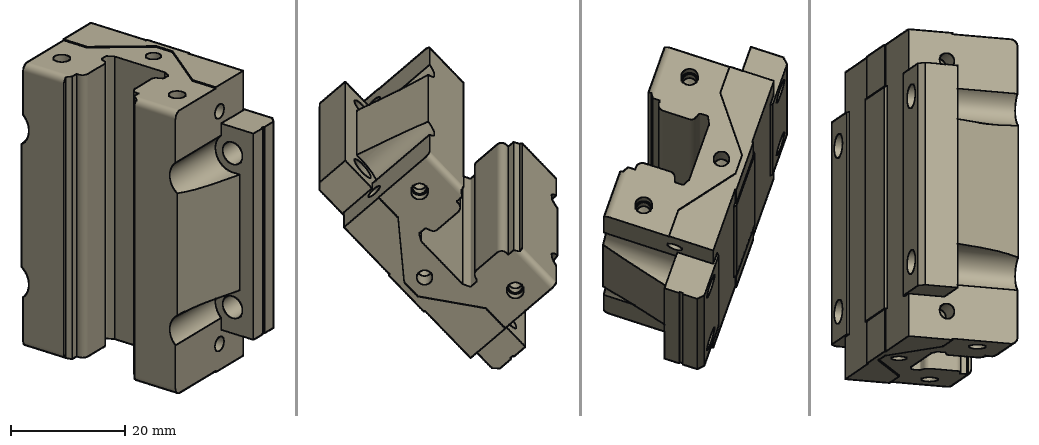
import cadquery as cq
import math


LENGTH = 55.5
WIDTH = 47.0
HEIGHT = 20.7

BODY_WIDTH = 33.0
BLOCK_LENGTH = 40.2
SIDE_TOP = 20.3
CAP_PAD_TOP = 20.55
PAD_TOP_WIDTH = 10.0
PAD_FOOT_WIDTH = 10.75
CAP_PAD_WIDTH = 9.2

FLANGE_BOTTOM = 13.65
FLANGE_CHAMFER = 1.0
FLANGE_TOP_INNER = 14.75
PAD_STEP_RUN = (PAD_FOOT_WIDTH - PAD_TOP_WIDTH) / 2
HOLE_DIAMETER = 4.3
HOLE_X = 19.0
HOLE_Z = 15.0
GROOVE_Y = 16.7
GROOVE_WIDTH = 0.6
GROOVE_DEPTH = 0.2

WEB_TOP_X = 20.55
WEB_BOTTOM_X = 16.85
CLEARANCE_RADIUS = 3.7

CHANNEL_TOP = 12.1
CHANNEL_TOP_HALF = 5.4
CHANNEL_WIDE_HALF = 6.7
CHANNEL_NARROW_HALF = 5.1
WIDE_UPPER_Y = 11.45
WIDE_LOWER_Y = 9.9
NARROW_UPPER_Y = 9.2
MOUTH_UPPER_Y = 2.5
LIP_UPPER_Y = 1.2
LIP_LOWER_Y = 0.6
LIP_HALF = 7.65
UPPER_RIDGE_RADIUS = 1.0
LOWER_RIDGE_RADIUS = 1.15
CORNER_RADIUS = 0.3

SEAL_SETBACK = 0.2
SEAL_SHOULDER_Y = CHANNEL_TOP
SEAL_SHOULDER_HALF = 11.45
SEAL_PEAK_Y = 19.4
SEAL_PEAK_HALF = 1.8
SEAL_EDGE_RADIUS = 1.3

PORT_DIAMETER = 2.7
PORT_DEPTH = 4.45
END_PORT_Y = 16.2
SIDE_PORT_Y = 13.15
SIDE_PORT_Z = 22.65
SCREW_DIAMETER = 2.5
SCREW_MOUTH_DIAMETER = 3.0
SCREW_MOUTH_DEPTH = 2.2
SCREW_DEPTH = 4.45
SCREW_X = 12.5
SCREW_Y = 6.05
TIP_ANGLE = 118.0


def prism(points, length, z_center=0.0):
    """Closed XY outline extruded along Z, centred on z_center."""
    start = z_center - length / 2
    return cq.Workplane("XY").workplane(offset=start).polyline(points).close().extrude(length)


def symmetric(right_points):
    """Complete an outline from its +X half, listed from top to bottom."""
    return right_points + [(-x, y) for x, y in reversed(right_points)]


def padded_outline(pad_top, top_width, foot_width):
    """Body section with the raised centre pad."""
    return symmetric([
        (top_width / 2, pad_top),
        (foot_width / 2, SIDE_TOP),
        (BODY_WIDTH / 2, SIDE_TOP),
        (BODY_WIDTH / 2, 0),
    ])


def make_body():
    block = prism(padded_outline(HEIGHT, PAD_TOP_WIDTH, PAD_FOOT_WIDTH), BLOCK_LENGTH)
    caps = prism(padded_outline(CAP_PAD_TOP, CAP_PAD_WIDTH, CAP_PAD_WIDTH), LENGTH)
    return block.union(caps)


def make_flange():
    """Flange on the +X side with a chamfered outer top edge."""
    outer = WIDTH / 2
    inner_foot = FLANGE_TOP_INNER - PAD_STEP_RUN
    outline = [
        (inner_foot, FLANGE_BOTTOM),
        (outer, FLANGE_BOTTOM),
        (outer, HEIGHT - FLANGE_CHAMFER),
        (outer - FLANGE_CHAMFER, HEIGHT),
        (FLANGE_TOP_INNER, HEIGHT),
        (inner_foot, SIDE_TOP),
    ]
    return prism(outline, BLOCK_LENGTH)


def make_web():
    """Tapered web on the +X side, reaching to the screw hole centres."""
    inner = BODY_WIDTH / 2
    outline = [(inner, 0), (WEB_BOTTOM_X, 0), (WEB_TOP_X, FLANGE_BOTTOM), (inner, FLANGE_BOTTOM)]
    return prism(outline, 2 * HOLE_Z)


def make_clearance():
    """Screw head space below the flange: round toward the body, open outward."""
    open_width = WIDTH / 2 - HOLE_X
    cutter = cq.Workplane("XY")
    for side in (-1, 1):
        for end in (-1, 1):
            x, z = side * HOLE_X, end * HOLE_Z
            round_part = cq.Workplane("XZ").center(x, z).circle(CLEARANCE_RADIUS).extrude(-FLANGE_BOTTOM)
            open_part = (
                cq.Workplane("XZ")
                .center(x + side * open_width / 2, z)
                .rect(open_width, 2 * CLEARANCE_RADIUS)
                .extrude(-FLANGE_BOTTOM)
            )
            cutter = cutter.add(round_part.union(open_part))
    return cutter.combine()


def make_channel():
    """Rail channel with rounded ridges and small rounds in its wide upper part."""
    outline = symmetric([
        (CHANNEL_TOP_HALF, CHANNEL_TOP),
        (CHANNEL_WIDE_HALF, WIDE_UPPER_Y),
        (CHANNEL_WIDE_HALF, WIDE_LOWER_Y),
        (CHANNEL_NARROW_HALF, NARROW_UPPER_Y),
        (CHANNEL_NARROW_HALF, MOUTH_UPPER_Y),
        (CHANNEL_WIDE_HALF, MOUTH_UPPER_Y),
        (CHANNEL_WIDE_HALF, LIP_UPPER_Y),
        (LIP_HALF, LIP_LOWER_Y),
        (LIP_HALF, 0),
    ])
    channel = prism(outline, LENGTH)
    rounds = [
        (CHANNEL_NARROW_HALF, NARROW_UPPER_Y, UPPER_RIDGE_RADIUS),
        (CHANNEL_NARROW_HALF, MOUTH_UPPER_Y, LOWER_RIDGE_RADIUS),
        (CHANNEL_WIDE_HALF, WIDE_UPPER_Y, CORNER_RADIUS),
        (CHANNEL_WIDE_HALF, WIDE_LOWER_Y, CORNER_RADIUS),
    ]
    for x, y, radius in rounds:
        for side in (-1, 1):
            corner = cq.selectors.NearestToPointSelector((side * x, y, 0))
            channel = channel.edges("|Z").edges(corner).fillet(radius)
    return channel


def make_seal_setback(end):
    """Material removed at one end so the seal plate lies behind the cap face, lower edge rounded."""
    outline = symmetric([
        (SEAL_PEAK_HALF, SEAL_PEAK_Y),
        (SEAL_SHOULDER_HALF, SEAL_SHOULDER_Y),
        (BODY_WIDTH / 2, SEAL_SHOULDER_Y),
        (BODY_WIDTH / 2, 0),
    ])
    face_z = LENGTH / 2 - SEAL_SETBACK
    setback = prism(outline, SEAL_SETBACK, end * (LENGTH - SEAL_SETBACK) / 2)
    mid = SEAL_EDGE_RADIUS * (1 - math.sqrt(0.5))
    edge_round = (
        cq.Workplane("YZ")
        .moveTo(0, end * face_z)
        .lineTo(SEAL_EDGE_RADIUS, end * face_z)
        .threePointArc((mid, end * (face_z - mid)), (0, end * (face_z - SEAL_EDGE_RADIUS)))
        .close()
        .extrude(BODY_WIDTH / 2, both=True)
    )
    return setback.union(edge_round)


def make_drill(diameter, depth):
    """Blind hole cutter with a conical tip, opening at Z = 0 and going down."""
    radius = diameter / 2
    tip = radius / math.tan(math.radians(TIP_ANGLE / 2))
    outline = [(0, 0), (radius, 0), (radius, -depth), (0, -depth - tip)]
    return cq.Workplane("XZ").polyline(outline).close().revolve(360, (0, 0, 0), (0, 1, 0))


def drill_end(part, end):
    """Grease port and two seal plate screws in one end face."""
    face_z = LENGTH / 2 - SEAL_SETBACK
    port = make_drill(PORT_DIAMETER, PORT_DEPTH).translate((0, END_PORT_Y, face_z))
    screw_mouth = cq.Workplane("XY").circle(SCREW_MOUTH_DIAMETER / 2).extrude(-SCREW_MOUTH_DEPTH)
    screw = make_drill(SCREW_DIAMETER, SCREW_DEPTH).union(screw_mouth)
    cutters = [port] + [screw.translate((x, SCREW_Y, face_z)) for x in (-SCREW_X, SCREW_X)]
    for cutter in cutters:
        part = part.cut(cutter if end > 0 else cutter.mirror("XY"))
    return part


def drill_sides(part):
    """One grease port in each side of each end cap."""
    port = make_drill(PORT_DIAMETER, PORT_DEPTH).rotate((0, 0, 0), (0, 1, 0), 90)
    for z in (-SIDE_PORT_Z, SIDE_PORT_Z):
        right_port = port.translate((BODY_WIDTH / 2, SIDE_PORT_Y, z))
        part = part.cut(right_port).cut(right_port.mirror("YZ"))
    return part


def drill_flanges(part):
    """Four mounting holes through the flanges."""
    holes = (
        cq.Workplane("XZ")
        .rect(2 * HOLE_X, 2 * HOLE_Z, forConstruction=True)
        .vertices()
        .circle(HOLE_DIAMETER / 2)
        .extrude(-HEIGHT)
    )
    return part.cut(holes)


result = make_body()
for half in (make_flange(), make_web()):
    result = result.union(half).union(half.mirror("YZ"))
result = result.cut(make_clearance()).cut(make_channel())

groove = cq.Workplane("XY").box(2 * GROOVE_DEPTH, GROOVE_WIDTH, BLOCK_LENGTH)
result = result.cut(groove.translate((WIDTH / 2, GROOVE_Y, 0)))

for end_sign in (-1, 1):
    result = result.cut(make_seal_setback(end_sign))
    result = drill_end(result, end_sign)
result = drill_sides(result)
result = drill_flanges(result)